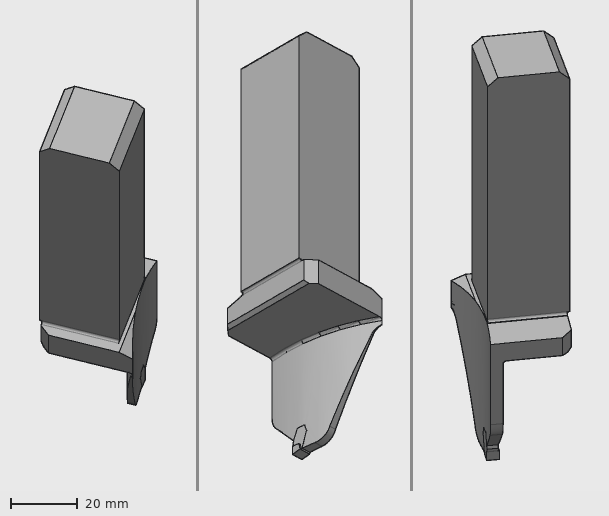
import cadquery as cq
import math


SHANK_SIDE = 25.0
TOTAL_HEIGHT = 131.6
SHANK_CHAMFER_X = 3.2
SHANK_CHAMFER_Z = 2.8
FOOT_FILLET = 0.8

PLATE_LEFT = 0.8
PLATE_RIGHT = 30.5
PLATE_FRONT = -16.6
PLATE_BACK = 22.1
PLATE_BOTTOM = 39.3
PLATE_TOP = 47.9
CORNER_X = 3.3
CORNER_Y = 2.9
PLATE_BEVEL = 1.2
BACK_EDGE_Z = 45.5
SLOPE_START_X = 26.2
RIGHT_EDGE_Z = 46.2

OUTER_X = 25.3
OUTER_Y = 11.8
INNER_X = 21.7
INNER_Y = 15.3
INNER_RADIUS = 62.5
BLADE_FILLET = 0.9

BACK_ROUND_START = (PLATE_BACK, 17.9)
BACK_ROUND_MID = (21.5, 15.1)
BACK_ROUND_END = (19.6, 12.8)
TIP_ROUND_START = (4.2, 0.9)
TIP_ROUND_MID = (0.9, 2.1)
TIP_ROUND_END = (-0.9, 4.9)
FRONT_ROUND_START = (-13.7, 34.0)
FRONT_ROUND_MID = (-14.9, 35.8)
FRONT_ROUND_END = (PLATE_FRONT, 37.0)

OUTER_RISE = PLATE_RIGHT - OUTER_X
OUTER_REACH = OUTER_Y - PLATE_FRONT
OUTER_RADIUS = (OUTER_REACH**2 + OUTER_RISE**2) / (2 * OUTER_RISE)

HEAD_X = 21.3
HEAD_TOP = 3.0
INSERT_EDGE_Y = 12.5
INSERT_EDGE_Z = 5.1
INSERT_TOP = 9.0
HEAD_INNER_Y = 9.2
HEAD_INNER_Z = 0.4


def cylinder(x_min, y_center, radius):
    """Upright cylinder whose lowest-X line is at (x_min, y_center)."""
    return cq.Workplane("XY").center(x_min + radius, y_center).circle(radius).extrude(TOTAL_HEIGHT)


outer_cylinder = cylinder(OUTER_X, OUTER_Y, OUTER_RADIUS)
inner_cylinder = cylinder(INNER_X, INNER_Y, INNER_RADIUS)


def make_shank():
    chamfer_z = TOTAL_HEIGHT - SHANK_CHAMFER_Z
    shank_bottom = PLATE_BOTTOM + PLATE_BEVEL
    undercut_z = PLATE_TOP + FOOT_FILLET
    arc_offset = FOOT_FILLET * math.sqrt(0.5)
    return (
        cq.Workplane("XZ", origin=(0, SHANK_SIDE / 2, 0))
        .moveTo(PLATE_LEFT, shank_bottom)
        .lineTo(PLATE_LEFT, PLATE_TOP)
        .threePointArc((arc_offset, PLATE_TOP + arc_offset), (0, undercut_z))
        .lineTo(0, chamfer_z)
        .lineTo(SHANK_CHAMFER_X, TOTAL_HEIGHT)
        .lineTo(SHANK_SIDE - SHANK_CHAMFER_X, TOTAL_HEIGHT)
        .lineTo(SHANK_SIDE, chamfer_z)
        .lineTo(SHANK_SIDE, shank_bottom)
        .close()
        .extrude(SHANK_SIDE)
    )


def make_plate():
    plan = (
        cq.Workplane("XY", origin=(0, 0, PLATE_BOTTOM))
        .polyline([
            (PLATE_RIGHT, PLATE_FRONT),
            (PLATE_LEFT + CORNER_X, PLATE_FRONT),
            (PLATE_LEFT, PLATE_FRONT + CORNER_Y),
            (PLATE_LEFT, PLATE_BACK - CORNER_Y),
            (PLATE_LEFT + CORNER_X, PLATE_BACK),
            (PLATE_RIGHT, PLATE_BACK),
        ])
        .close()
        .extrude(PLATE_TOP - PLATE_BOTTOM)
    )
    x_section = (
        cq.Workplane("XZ", origin=(0, PLATE_BACK, 0))
        .polyline([
            (PLATE_LEFT + PLATE_BEVEL, PLATE_BOTTOM),
            (PLATE_LEFT, PLATE_BOTTOM + PLATE_BEVEL),
            (PLATE_LEFT, PLATE_TOP),
            (SLOPE_START_X, PLATE_TOP),
            (PLATE_RIGHT, RIGHT_EDGE_Z),
            (PLATE_RIGHT, PLATE_BOTTOM),
        ])
        .close()
        .extrude(PLATE_BACK - PLATE_FRONT)
    )
    y_section = (
        cq.Workplane("YZ")
        .polyline([
            (PLATE_FRONT, PLATE_BOTTOM),
            (PLATE_BACK, PLATE_BOTTOM),
            (PLATE_BACK, BACK_EDGE_Z),
            (SHANK_SIDE / 2, PLATE_TOP),
            (PLATE_FRONT, PLATE_TOP),
        ])
        .close()
        .extrude(PLATE_RIGHT)
    )
    return plan.intersect(x_section).intersect(y_section).cut(outer_cylinder)


def make_foot_fillet(side):
    """Concave fillet between shank and plate on the +Y (1) or -Y (-1) side."""
    face_y = side * SHANK_SIDE / 2
    center_y = face_y + side * FOOT_FILLET
    center_z = PLATE_TOP + FOOT_FILLET
    arc_offset = FOOT_FILLET * math.sqrt(0.5)
    return (
        cq.Workplane("YZ", origin=(PLATE_LEFT, 0, 0))
        .moveTo(face_y, center_z)
        .threePointArc((center_y - side * arc_offset, center_z - arc_offset), (center_y, PLATE_TOP))
        .lineTo(center_y, PLATE_TOP - FOOT_FILLET)
        .lineTo(face_y, PLATE_TOP - FOOT_FILLET)
        .close()
        .extrude(SHANK_SIDE - PLATE_LEFT)
    )


def make_blade():
    outline = (
        cq.Workplane("YZ")
        .moveTo(PLATE_BACK, PLATE_BOTTOM)
        .lineTo(*BACK_ROUND_START)
        .threePointArc(BACK_ROUND_MID, BACK_ROUND_END)
        .lineTo(INSERT_EDGE_Y, INSERT_EDGE_Z)
        .lineTo(HEAD_INNER_Y, TIP_ROUND_START[1])
        .lineTo(*TIP_ROUND_START)
        .threePointArc(TIP_ROUND_MID, TIP_ROUND_END)
        .lineTo(*FRONT_ROUND_START)
        .threePointArc(FRONT_ROUND_MID, FRONT_ROUND_END)
        .lineTo(PLATE_FRONT, PLATE_BOTTOM)
        .close()
        .extrude(PLATE_RIGHT)
    )
    return outline.intersect(inner_cylinder).cut(outer_cylinder)


def make_blade_fillet():
    """Concave fillet between the plate underside and the inner blade face."""
    center_x = INNER_X - BLADE_FILLET
    center_z = PLATE_BOTTOM - BLADE_FILLET
    arc_offset = BLADE_FILLET * math.sqrt(0.5)
    axis_x = INNER_X + INNER_RADIUS
    ring = (
        cq.Workplane("XZ", origin=(0, INNER_Y, 0))
        .moveTo(center_x, PLATE_BOTTOM)
        .threePointArc((center_x + arc_offset, center_z + arc_offset), (INNER_X, center_z))
        .lineTo(INNER_X + BLADE_FILLET, center_z)
        .lineTo(INNER_X + BLADE_FILLET, PLATE_BOTTOM)
        .close()
        .revolve(360, (axis_x, 0, 0), (axis_x, 1, 0))
    )
    under_plate = (
        cq.Workplane("XY")
        .box(PLATE_RIGHT, PLATE_BACK - PLATE_FRONT, PLATE_BOTTOM, centered=False)
        .translate((0, PLATE_FRONT, 0))
    )
    return ring.intersect(under_plate).cut(outer_cylinder)


def make_insert():
    body = (
        cq.Workplane("YZ")
        .polyline([
            (INSERT_EDGE_Y, HEAD_TOP),
            (12.8, 4.1),
            (INSERT_EDGE_Y, INSERT_EDGE_Z),
            (10.9, INSERT_TOP),
            (8.2, INSERT_TOP),
            (7.4, 6.7),
            (8.5, 2.6),
            (HEAD_INNER_Y, HEAD_INNER_Z),
            (INSERT_EDGE_Y, 0),
        ])
        .close()
        .extrude(PLATE_RIGHT)
        .intersect(inner_cylinder)
    )
    head = (
        cq.Workplane("YZ", origin=(HEAD_X, 0, 0))
        .polyline([
            (INSERT_EDGE_Y, 0),
            (INSERT_EDGE_Y, HEAD_TOP),
            (9.7, 2.6),
            (HEAD_INNER_Y, HEAD_INNER_Z),
        ])
        .close()
        .extrude(OUTER_X - HEAD_X)
    )
    return body.union(head).cut(outer_cylinder)


insert = make_insert()

holder = make_shank().union(make_plate())
for side in (-1, 1):
    holder = holder.union(make_foot_fillet(side))
holder = holder.cut(outer_cylinder)
holder = holder.union(make_blade()).union(make_blade_fillet())
holder = holder.cut(insert)

result = cq.Compound.makeCompound([holder.solids().val(), insert.solids().val()])